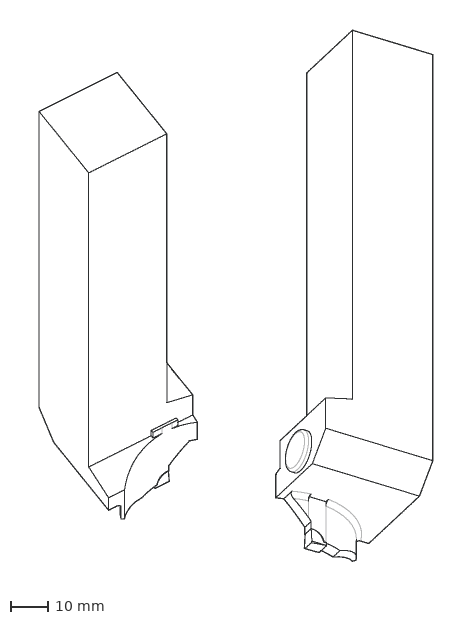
import cadquery as cq
import math


shank_size = 25.0
overall_length = 151.35
insert_tip_depth = 14.55
shank_top = overall_length - insert_tip_depth
head_width = 35.02
head_depth = 33.3
shoulder_angle = math.radians(15)
side_shoulder_z = 8.2
back_shoulder_z = 19.2
corner_chamfer = 7.3

screw_diameter = 11.86
screw_overhang = 1.8
screw_x = 13.55
screw_z = 7.2
screw_edge_radius = 0.8

rib_width = 0.8
rib_top = 10.5
rib_front = 20.0
rib_back = 28.0

blade_outer_center_y = 23.25
blade_outer_x = 22.1
blade_outer_radius = 20.8
blade_inner_x = 25.75
blade_inner_radius = 24.9
blade_inner_center_y = 24.5
blade_depth = 13.2
blade_tail_depth = 6.6
blade_tail_y = 4.0
blade_flat_start_y = 15.4
blade_back_z = -7.7
blade_back_angle = math.radians(52)
blade_root_radius = 1.4
blade_facet_width = 5.4

insert_front_y = blade_outer_center_y - blade_facet_width / 2
insert_rake_y = 25.15
insert_top = -10.0
insert_corner_y = 21.3
insert_heel_depth = 14.2
insert_width = 4.2
insert_taper = 0.45
insert_corner_chamfer = 0.35

cutting_margin = 5.0


def box(x_min, x_max, y_min, y_max, z_min, z_max):
    """Axis-aligned block between the given limits."""
    size = (x_max - x_min, y_max - y_min, z_max - z_min)
    return cq.Workplane("XY").box(*size, centered=False).translate((x_min, y_min, z_min))


def cylinder_along_z(x, y, radius, z_min, z_max):
    return cq.Workplane("XY", origin=(x, y, z_min)).circle(radius).extrude(z_max - z_min)


def make_shank_and_head():
    """Square shank whose foot widens to +X and +Y under sloping shoulders."""
    side_drop = (head_width - shank_size) * math.tan(shoulder_angle)
    back_drop = (head_depth - shank_size) * math.tan(shoulder_angle)
    front_outline = (
        cq.Workplane("XZ")
        .polyline([
            (corner_chamfer, 0),
            (head_width, 0),
            (head_width, side_shoulder_z - side_drop),
            (shank_size, side_shoulder_z),
            (shank_size, shank_top),
            (0, shank_top),
            (0, corner_chamfer),
        ])
        .close()
        .extrude(-head_depth)
    )
    side_outline = (
        cq.Workplane("YZ")
        .polyline([
            (0, 0),
            (head_depth, 0),
            (head_depth, back_shoulder_z - back_drop),
            (shank_size, back_shoulder_z),
            (shank_size, shank_top),
            (0, shank_top),
        ])
        .close()
        .extrude(head_width)
    )
    rib = box(shank_size, shank_size + rib_width, rib_front, rib_back, 0, rib_top)
    return front_outline.intersect(side_outline).union(rib)


def make_blade_relief():
    """Everything below the head that lies outside the blade's side profile."""
    back_bottom_y = insert_rake_y
    back_root_y = back_bottom_y - blade_back_z / math.tan(blade_back_angle)
    below_head = box(
        0, head_width + cutting_margin,
        -cutting_margin, head_depth + cutting_margin,
        -blade_depth - cutting_margin, 0,
    )
    kept_profile = (
        cq.Workplane("YZ")
        .polyline([
            (-cutting_margin, 0),
            (-cutting_margin, -blade_tail_depth),
            (blade_tail_y, -blade_tail_depth),
            (blade_flat_start_y, -blade_depth),
            (back_bottom_y, -blade_depth),
            (back_bottom_y, blade_back_z),
            (back_root_y, 0),
        ])
        .close()
        .extrude(head_width)
    )
    return below_head.cut(kept_profile)


def make_insert_profile():
    """Side profile of the insert and its seat, spanning the whole head width."""
    rise = insert_top + blade_depth
    run = insert_rake_y - insert_corner_y
    arc_middle = (
        insert_corner_y + run * (1 - math.sqrt(0.5)),
        -blade_depth + rise * math.sqrt(0.5),
    )
    return (
        cq.Workplane("YZ")
        .moveTo(insert_rake_y, -insert_tip_depth)
        .lineTo(insert_rake_y, insert_top)
        .threePointArc(arc_middle, (insert_corner_y, -blade_depth))
        .lineTo(insert_front_y, -blade_depth)
        .lineTo(insert_front_y, -insert_heel_depth)
        .close()
        .extrude(head_width)
    )


def make_holder():
    """Shank, head, blade and screw head in one piece, with the insert seat cut out."""
    head = make_shank_and_head()
    crescent = cylinder_along_z(
        blade_outer_x + blade_outer_radius, blade_outer_center_y, blade_outer_radius,
        -blade_depth, 0,
    ).intersect(box(0, head_width, 0, head_depth, -blade_depth, 0))
    holder = head.union(crescent)

    root_point = (blade_outer_x, blade_outer_center_y, 0)
    holder = holder.edges(cq.selectors.NearestToPointSelector(root_point)).fillet(blade_root_radius)

    holder = holder.cut(cylinder_along_z(
        blade_inner_x + blade_inner_radius, blade_inner_center_y, blade_inner_radius,
        -blade_depth, shank_top,
    ))

    half_facet = blade_facet_width / 2
    facet_sag = blade_outer_radius - math.sqrt(blade_outer_radius**2 - half_facet**2)
    holder = holder.cut(box(
        0, blade_outer_x + facet_sag,
        blade_outer_center_y - half_facet, blade_outer_center_y + half_facet,
        -blade_depth, 0,
    ))
    holder = holder.cut(make_blade_relief())
    holder = holder.cut(make_insert_profile())

    screw_head = (
        cq.Workplane("XZ", origin=(screw_x, head_depth, screw_z))
        .circle(screw_diameter / 2)
        .extrude(-screw_overhang)
        .faces(">Y").edges().fillet(screw_edge_radius)
    )
    return holder.union(screw_head)


def make_insert():
    """Cutting insert, widening towards its chamfered cutting edge."""
    middle_x = (blade_outer_x + blade_inner_x) / 2
    half_edge = insert_width / 2
    half_top = half_edge - insert_taper
    chamfer_z = -insert_tip_depth + insert_corner_chamfer
    half_bottom = half_edge - insert_corner_chamfer
    cross_section = (
        cq.Workplane("XZ", origin=(middle_x, 0, 0))
        .polyline([
            (-half_bottom, -insert_tip_depth),
            (half_bottom, -insert_tip_depth),
            (half_edge, chamfer_z),
            (half_top, insert_top),
            (-half_top, insert_top),
            (-half_edge, chamfer_z),
        ])
        .close()
        .extrude(-head_depth)
    )
    return cross_section.intersect(make_insert_profile())


holder = make_holder()
insert = make_insert()
result = cq.Compound.makeCompound([holder.val(), insert.val()])